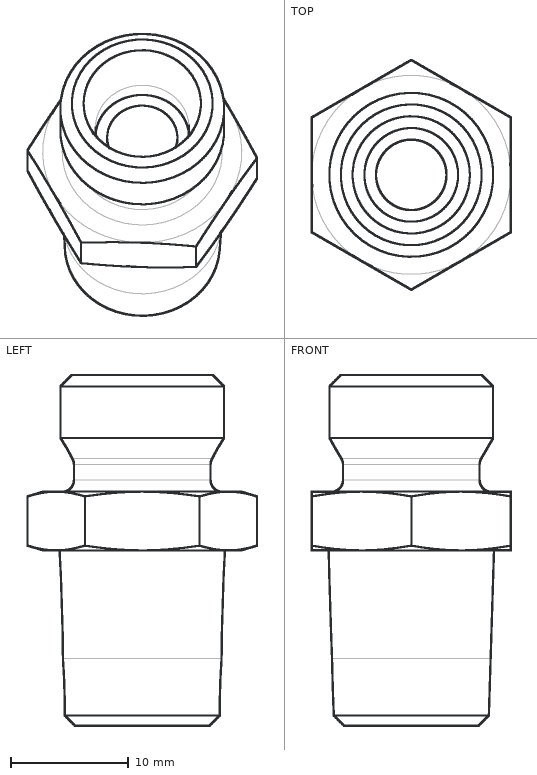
import cadquery as cq
import math

total_height = 30.0
hex_bottom = 15.0
hex_height = 5.0
hex_top = hex_bottom + hex_height

across_flats = 17.0
across_corners = across_flats / math.cos(math.radians(30))
hex_chamfer_angle = math.radians(17)

stub_taper = 1 / 32
stub_root_radius = 7.08
stub_ring_height = 5.75
stub_chamfer = 0.9

head_radius = 14.0 / 2
head_chamfer = 1.0
head_bottom = 24.6
neck_radius = 11.7 / 2
neck_fillet = 1.0
neck_flare_angle = math.radians(30)

through_radius = 6.0 / 2
socket_radius = 8.0 / 2
mouth_radius = 5.0
mouth_depth = 5.0
socket_depth = 7.0


def revolve_about_z(profile):
    return profile.close().revolve(360, (0, 0, 0), (0, 1, 0), clean=False)


def make_hexagon():
    """Hexagon with corners on Y, its corners turned off by a cone at both ends."""
    prism = (
        cq.Workplane("XY")
        .workplane(offset=hex_bottom)
        .polygon(6, across_corners)
        .extrude(hex_height)
        .rotate((0, 0, 0), (0, 0, 1), 30)
    )
    flat_radius = across_flats / 2
    corner_radius = across_corners / 2
    drop = (corner_radius - flat_radius) * math.tan(hex_chamfer_angle)
    turned_envelope = revolve_about_z(
        cq.Workplane("XZ")
        .moveTo(0, hex_bottom)
        .lineTo(flat_radius, hex_bottom)
        .lineTo(corner_radius, hex_bottom + drop)
        .lineTo(corner_radius, hex_top - drop)
        .lineTo(flat_radius, hex_top)
        .lineTo(0, hex_top)
    )
    return prism.intersect(turned_envelope)


def make_stub():
    """Tapered lower stub with a chamfered tip; a ring edge divides its flank."""
    ring_radius = stub_root_radius - stub_taper * (hex_bottom - stub_ring_height)
    tip_radius = stub_root_radius - stub_taper * (hex_bottom - stub_chamfer)
    return revolve_about_z(
        cq.Workplane("XZ")
        .lineTo(tip_radius - stub_chamfer, 0)
        .lineTo(tip_radius, stub_chamfer)
        .lineTo(ring_radius, stub_ring_height)
        .lineTo(stub_root_radius, hex_bottom)
        .lineTo(0, hex_bottom)
    )


def make_head():
    """Upper head on a necked groove that flares into the hexagon."""
    flare_start_radius = neck_radius + neck_fillet * (1 - math.cos(neck_flare_angle))
    flare_height = (head_radius - flare_start_radius) / math.tan(neck_flare_angle)
    flare_start = head_bottom - flare_height
    neck_top = flare_start - neck_fillet * math.sin(neck_flare_angle)
    half_angle = neck_flare_angle / 2
    flare_arc_middle = (
        neck_radius + neck_fillet * (1 - math.cos(half_angle)),
        neck_top + neck_fillet * math.sin(half_angle),
    )
    arc_offset = neck_fillet * (1 - math.sqrt(0.5))
    return revolve_about_z(
        cq.Workplane("XZ")
        .moveTo(0, hex_top)
        .lineTo(neck_radius + neck_fillet, hex_top)
        .threePointArc(
            (neck_radius + arc_offset, hex_top + arc_offset),
            (neck_radius, hex_top + neck_fillet),
        )
        .lineTo(neck_radius, neck_top)
        .threePointArc(flare_arc_middle, (flare_start_radius, flare_start))
        .lineTo(head_radius, head_bottom)
        .lineTo(head_radius, total_height - head_chamfer)
        .lineTo(head_radius - head_chamfer, total_height)
        .lineTo(0, total_height)
    )


def make_bore():
    """Through hole with a tube socket and a conical mouth at the top."""
    socket_floor = total_height - socket_depth
    return revolve_about_z(
        cq.Workplane("XZ")
        .lineTo(through_radius, 0)
        .lineTo(through_radius, socket_floor)
        .lineTo(socket_radius, socket_floor)
        .lineTo(socket_radius, total_height - mouth_depth)
        .lineTo(mouth_radius, total_height)
        .lineTo(0, total_height)
    )


body = make_hexagon().union(make_stub(), clean=False).union(make_head(), clean=False)
result = body.cut(make_bore(), clean=False)